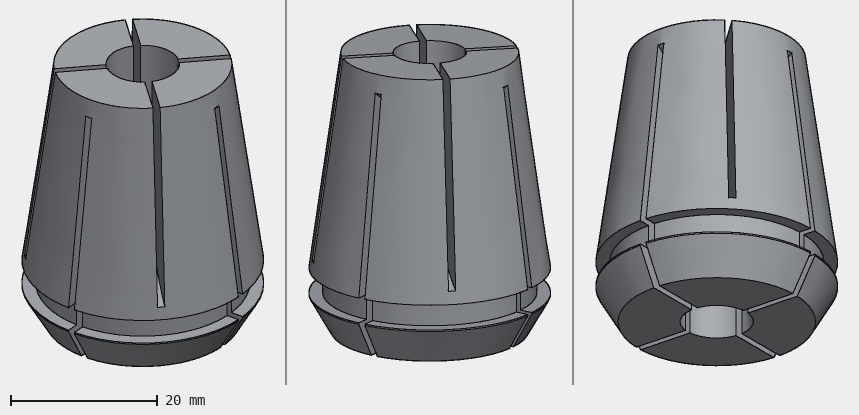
import cadquery as cq
import math

height = 40.0
flange_radius = 16.5
bore_radius = 5.0

nose_radius = 13.5
nose_angle = 30.0
nose_top = (flange_radius - nose_radius) / math.tan(math.radians(nose_angle))
flange_top = 5.5
groove_radius = 14.65
groove_top = 9.05

taper_radius = 16.5
taper_angle = 8.0
top_radius = taper_radius - (height - groove_top) * math.tan(math.radians(taper_angle))

slot_count = 4
slot_width = 1.0
saw_radius = 23.2
slot_start = bore_radius / 2
lower_saw_offset = 24.85
lower_slot_end = 37.4
upper_saw_offset = 19.3
upper_slot_end = 10.9


def taper_radius_at(z):
    return taper_radius - (z - groove_top) * math.tan(math.radians(taper_angle))


def make_body():
    """Revolved outline with the central bore."""
    outline = [
        (bore_radius, 0),
        (nose_radius, 0),
        (flange_radius, nose_top),
        (flange_radius, flange_top),
        (groove_radius, flange_top),
        (groove_radius, groove_top),
        (taper_radius, groove_top),
        (top_radius, height),
        (bore_radius, height),
    ]
    return cq.Workplane("XZ").polyline(outline).close().revolve(360, (0, 0, 0), (0, 1, 0))


def make_slot(saw_offset, slot_end, end_z, angle):
    """Radial slot open at end_z, closed by a saw arc that meets the taper at slot_end."""
    open_up = 1 if end_z > slot_end else -1
    reach = saw_offset - taper_radius_at(slot_end)
    saw_z = slot_end + open_up * math.sqrt(saw_radius**2 - reach**2)
    inner_angle = math.asin((saw_offset - slot_start) / saw_radius)

    def rim_point(rim_angle):
        return (
            saw_offset - saw_radius * math.sin(rim_angle),
            saw_z - open_up * saw_radius * math.cos(rim_angle),
        )

    slot = (
        cq.Workplane("XZ")
        .moveTo(slot_start, end_z)
        .lineTo(*rim_point(inner_angle))
        .threePointArc(rim_point(inner_angle / 2), rim_point(0))
        .lineTo(saw_offset, end_z)
        .close()
        .extrude(slot_width / 2, both=True)
    )
    return slot.rotate((0, 0, 0), (0, 0, 1), angle)


result = make_body()
slot_pitch = 360 / slot_count
for index in range(slot_count):
    lower_angle = index * slot_pitch
    upper_angle = lower_angle + slot_pitch / 2
    result = result.cut(make_slot(lower_saw_offset, lower_slot_end, 0, lower_angle))
    result = result.cut(make_slot(upper_saw_offset, upper_slot_end, height, upper_angle))